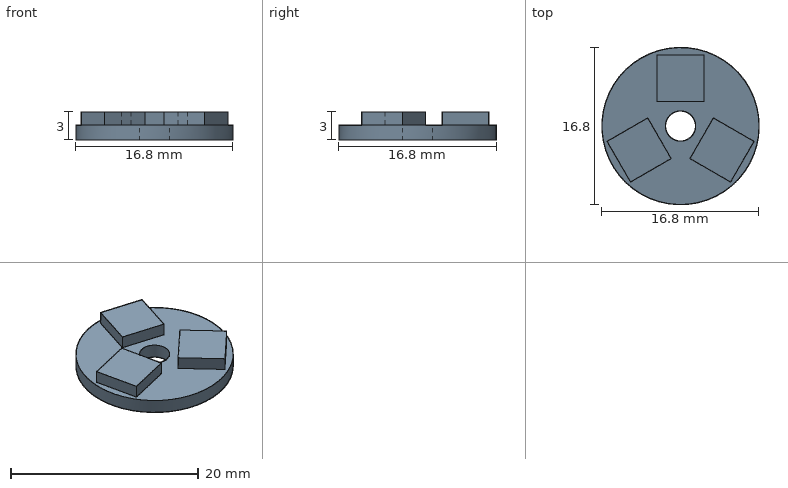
import cadquery as cq

disc_diameter = 16.8
disc_thickness = 1.6
bore_diameter = 3.2

total_height = 3.0
pad_height = total_height - disc_thickness
pad_side = 5.0
pad_center_radius = 5.1
pad_count = 3
first_pad_angle = 90.0


def make_disc():
    """Flat round disc with a central through bore."""
    return (
        cq.Workplane("XY")
        .circle(disc_diameter / 2)
        .circle(bore_diameter / 2)
        .extrude(disc_thickness)
    )


def make_pads():
    """Equally spaced square pads, each with one pair of sides facing the disc axis."""
    return (
        cq.Workplane("XY")
        .workplane(offset=disc_thickness)
        .polarArray(pad_center_radius, first_pad_angle, 360, pad_count)
        .rect(pad_side, pad_side)
        .extrude(pad_height)
    )


result = make_disc().union(make_pads())